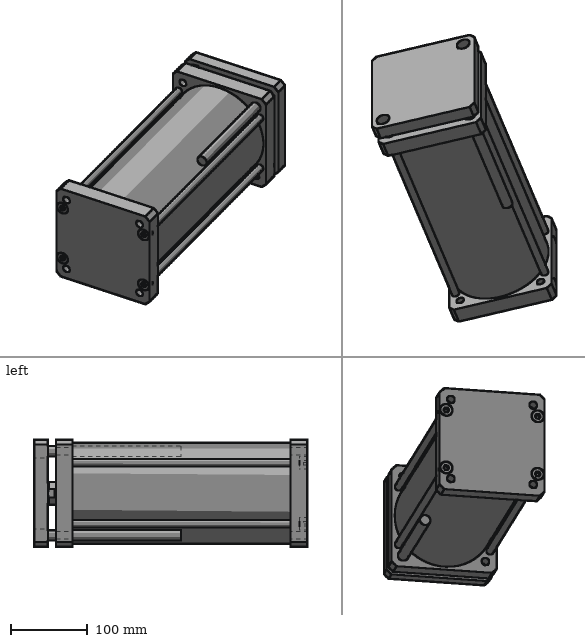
import cadquery as cq


side = 140.0
corner_diameter = 189.0
length = 356.0
cover_thickness = 22.0
plate_thickness = 17.8
plate_gap = 10.5

front_y = -length / 2
back_y = length / 2
barrel_start_y = front_y + cover_thickness
plate_start_y = back_y - plate_thickness
rod_cover_end_y = plate_start_y - plate_gap
barrel_end_y = rod_cover_end_y - cover_thickness

barrel_diameter = 132.0

piston_rod_diameter = 30.0
piston_rod_chamfer = 1.25
flat_half_width = 14.0
flat_length = 8.5
flat_runout = 1.0

tie_rod_diameter = 10.0
tie_rod_x = 61.0
tie_rod_z = 40.0
counterbore_diameter = 16.5
head_diameter = 16.0
head_height = 10.0
socket_width = 7.0
socket_depth = 5.0

guide_rod_diameter = 14.0
guide_rod_length = 191.5
corner_offset = 55.0
corner_hole_diameter = 10.0
plate_hole_diameter = 17.0

SIGNS = (-1, 1)
tie_rod_centres = [(sx * tie_rod_x, sz * tie_rod_z) for sx in SIGNS for sz in SIGNS]
corner_centres = [(sx * corner_offset, sz * corner_offset) for sx in SIGNS for sz in SIGNS]
guide_rod_centres = [(x, z) for x, z in corner_centres if x == z]
open_centres = [(x, z) for x, z in corner_centres if x != z]


def bars(diameter, start_y, end_y, centres=((0, 0),)):
    """Round bars parallel to Y, one at each (x, z) centre."""
    plane = cq.Plane(origin=(0, start_y, 0), xDir=(-1, 0, 0), normal=(0, 1, 0))
    points = [(-x, z) for x, z in centres]
    return cq.Workplane(plane).pushPoints(points).circle(diameter / 2).extrude(end_y - start_y)


def square_plate(start_y, end_y):
    """Square plate whose four corners are turned round."""
    thickness = end_y - start_y
    block = cq.Workplane("XY", origin=(0, (start_y + end_y) / 2, 0)).box(side, thickness, side)
    return block.intersect(bars(corner_diameter, start_y, end_y))


def piston_rod():
    """Exposed piston rod, chamfered at the plate and flattened on its -X and +X sides."""
    radius = piston_rod_diameter / 2
    rod = bars(piston_rod_diameter, rod_cover_end_y, plate_start_y)
    rod = rod.faces(">Y").chamfer(piston_rod_chamfer)
    flat_end_y = plate_start_y - flat_length
    for sign in SIGNS:
        flat_cut = (
            cq.Workplane("XY")
            .moveTo(sign * flat_half_width, plate_start_y)
            .lineTo(sign * flat_half_width, flat_end_y)
            .lineTo(sign * radius, flat_end_y - flat_runout)
            .lineTo(sign * radius, plate_start_y)
            .close()
            .extrude(radius, both=True)
        )
        rod = rod.cut(flat_cut)
    return rod


def head_grooves():
    """Narrow ring gaps between the tie rod heads and their counterbores."""
    groove_end_y = front_y + head_height
    counterbores = bars(counterbore_diameter, front_y, groove_end_y, tie_rod_centres)
    return counterbores.cut(bars(head_diameter, front_y, groove_end_y, tie_rod_centres))


def head_sockets():
    """Hexagon sockets in the tie rod heads, with a corner pointing along X."""
    face = cq.Workplane("XZ", origin=(0, front_y, 0)).pushPoints(tie_rod_centres)
    return face.polygon(6, socket_width).extrude(-socket_depth)


body = square_plate(front_y, barrel_start_y)
body = body.union(square_plate(barrel_end_y, rod_cover_end_y))
body = body.union(square_plate(plate_start_y, back_y))
body = body.union(bars(barrel_diameter, barrel_start_y, barrel_end_y))

body = body.cut(bars(corner_hole_diameter, front_y, barrel_start_y, corner_centres))
body = body.cut(bars(corner_hole_diameter, barrel_end_y, rod_cover_end_y, open_centres))
body = body.cut(bars(plate_hole_diameter, plate_start_y, back_y, open_centres))

body = body.union(bars(tie_rod_diameter, barrel_start_y, barrel_end_y, tie_rod_centres))
body = body.union(bars(guide_rod_diameter, back_y - guide_rod_length, back_y, guide_rod_centres))
body = body.union(piston_rod())

result = body.cut(head_grooves()).cut(head_sockets())